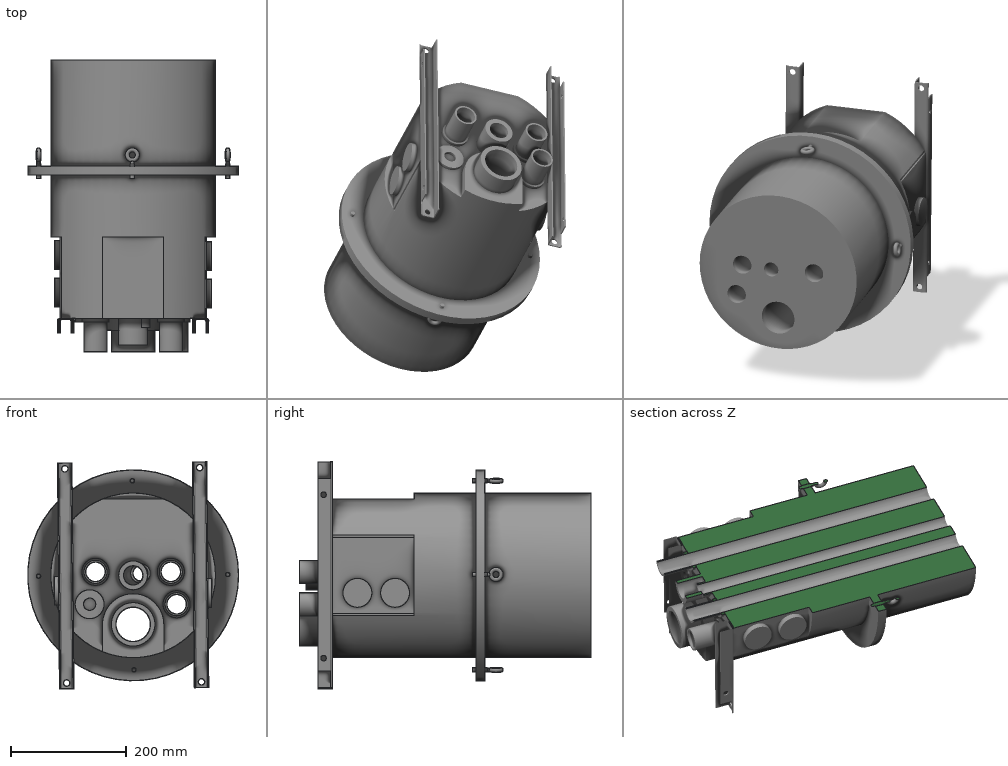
import cadquery as cq
import math

HARDWARE_TURN = 0.5

OVERALL_LENGTH = 504.0
PORT_LENGTH = 57.5
TANK_LENGTH = OVERALL_LENGTH - PORT_LENGTH
TANK_DIAMETER = 284.5
TANK_RADIUS = TANK_DIAMETER / 2
CUT = 2 * TANK_DIAMETER

FLAT_LENGTH = 140.5
TOP_FLAT_HEIGHT = 132.0
SIDE_FLAT_OFFSET = 124.0
SIDE_PLATE_THICKNESS = 2.5
SIDE_PLATE_HEIGHT = 131.0
SIDE_PLATE_FACE = SIDE_FLAT_OFFSET + SIDE_PLATE_THICKNESS

COVER_DIAMETER = 50.0
COVER_THICKNESS = 9.0
COVER_PITCH = 65.0
LEFT_COVER_Y = 45.0
LEFT_COVER_Z = -26.5
RIGHT_COVER_Y = 43.0
RIGHT_COVER_Z = -30.0

RING_DIAMETER = 364.5
RING_FRONT = 247.5
RING_THICKNESS = 15.5
RING_BACK = RING_FRONT + RING_THICKNESS

MAIN_PIPE_Z = -84.5
MAIN_PIPE_DIAMETER = 75.0
MAIN_PIPE_BORE = 59.0
PAD_RADIUS = 53.0
PAD_THICKNESS = 20.5

STUB_DIAMETER = 50.0
STUB_BORE = 33.5
STUB_LENGTH = 46.0
SMALL_TUBE_X = 12.5
SMALL_TUBE_Z = 3.5
SMALL_TUBE_DIAMETER = 34.0
SMALL_TUBE_BORE = 25.5
SMALL_TUBE_LENGTH = 15.5

COLLAR_DIAMETER = 47.0
COLLAR_THICKNESS = 6.0
FITTING_DIAMETER = 40.0
FITTING_BORE = 33.5
UPPER_PORT_X = 65.0
UPPER_PORT_Z = 6.0
LOWER_PORT_X = 75.0
LOWER_PORT_Z = -50.0
FITTING_PLACES = [
    (-UPPER_PORT_X, UPPER_PORT_Z),
    (UPPER_PORT_X, UPPER_PORT_Z),
    (LOWER_PORT_X, LOWER_PORT_Z),
]
BOSS_DIAMETER = 50.0
BOSS_HOLE = 21.0

BOLT_COUNT = 4
BOLT_CIRCLE_RADIUS = 163.5
SHANK_DIAMETER = 7.5
SHANK_CHAMFER = 0.5
SHANK_FRONT = RING_FRONT - 6.0
SHANK_BACK = RING_BACK + 4.0
NECK_DIAMETER = 6.5
EYE_OUTER_DIAMETER = 24.5
EYE_INNER_DIAMETER = 10.5
EYE_SECTION = (EYE_OUTER_DIAMETER - EYE_INNER_DIAMETER) / 2
EYE_RADIUS = (EYE_OUTER_DIAMETER + EYE_INNER_DIAMETER) / 4
EYE_CENTER_Y = 282.5
EYE_TWIST = -7.0

RAIL_LENGTH = 390.0
RAIL_WIDTH = 25.0
RAIL_DEPTH = 25.0
RAIL_OFFSET = 116.5
SHEET_THICKNESS = 2.0
BEND_INNER_RADIUS = 2.0
BEND_OUTER_RADIUS = BEND_INNER_RADIUS + SHEET_THICKNESS
OUTER_FLANGE_LENGTH = 333.0
WEB_HOLE_DIAMETER = 10.5
WEB_HOLE_Z = RAIL_LENGTH / 2 - 10.0
FLANGE_HOLE_DIAMETER = 9.5
FLANGE_HOLE_DEPTH = 15.5
FLANGE_HOLES_Z = [138.0, -144.0]


def rod(diameter, y_start, y_end, x=0.0, z=0.0):
    """Cylinder along Y from y_start to y_end, with its axis at (x, z)."""
    return (
        cq.Workplane("XZ", origin=(x, y_start, z))
        .circle(diameter / 2)
        .extrude(y_start - y_end)
    )


def flat_cutter(x, z):
    """Box of the length of the flats, centred at (x, z)."""
    return cq.Workplane("XY").box(CUT, FLAT_LENGTH, CUT).translate((x, FLAT_LENGTH / 2, z))


def side_plate(side):
    """Thin plate that lies on the side flat; side is -1 or 1."""
    return (
        cq.Workplane("XY")
        .box(SIDE_PLATE_THICKNESS, FLAT_LENGTH, SIDE_PLATE_HEIGHT)
        .translate((side * (SIDE_PLATE_FACE - SIDE_PLATE_THICKNESS / 2), FLAT_LENGTH / 2, 0))
    )


def side_covers(side, first_y, z):
    """Two round covers in a row along Y on a side plate."""
    return (
        cq.Workplane("YZ", origin=(side * SIDE_PLATE_FACE, 0, 0))
        .pushPoints([(first_y, z), (first_y + COVER_PITCH, z)])
        .circle(COVER_DIAMETER / 2)
        .extrude(side * COVER_THICKNESS)
    )


def arched_pad():
    """Pad below the main pipe: a round arch on straight sides, trimmed by the tank outline."""
    arch = (
        cq.Workplane("XZ")
        .moveTo(-PAD_RADIUS, -TANK_RADIUS)
        .lineTo(-PAD_RADIUS, MAIN_PIPE_Z)
        .threePointArc((0, MAIN_PIPE_Z + PAD_RADIUS), (PAD_RADIUS, MAIN_PIPE_Z))
        .lineTo(PAD_RADIUS, -TANK_RADIUS)
        .close()
        .extrude(PAD_THICKNESS)
    )
    return arch.intersect(rod(TANK_DIAMETER, -PAD_THICKNESS, 0))


def make_bolt_places():
    """Bolt angles in degrees, with the (x, z) of each bolt on the mounting ring."""
    places = []
    for index in range(BOLT_COUNT):
        angle = HARDWARE_TURN + index * 360 / BOLT_COUNT
        x = BOLT_CIRCLE_RADIUS * math.cos(math.radians(angle))
        z = BOLT_CIRCLE_RADIUS * math.sin(math.radians(angle))
        places.append((angle, x, z))
    return places


def make_housing():
    """Tank with its flats, ring, pads, stubs and through bores."""
    housing = rod(TANK_DIAMETER, 0, TANK_LENGTH)

    housing = housing.cut(flat_cutter(0, TOP_FLAT_HEIGHT + CUT / 2))
    for side, cover_y, cover_z in [
        (-1, LEFT_COVER_Y, LEFT_COVER_Z),
        (1, RIGHT_COVER_Y, RIGHT_COVER_Z),
    ]:
        housing = housing.cut(flat_cutter(side * (SIDE_FLAT_OFFSET + CUT / 2), 0))
        housing = housing.union(side_plate(side))
        housing = housing.union(side_covers(side, cover_y, cover_z))

    housing = housing.union(rod(RING_DIAMETER, RING_FRONT, RING_BACK))
    for _, x, z in bolt_places:
        housing = housing.cut(rod(SHANK_DIAMETER, RING_FRONT, RING_BACK, x, z))

    housing = housing.union(arched_pad())
    housing = housing.union(rod(MAIN_PIPE_DIAMETER, -PORT_LENGTH, 0, 0, MAIN_PIPE_Z))
    housing = housing.cut(rod(MAIN_PIPE_BORE, -PORT_LENGTH, TANK_LENGTH, 0, MAIN_PIPE_Z))

    stub = rod(STUB_DIAMETER, -STUB_LENGTH, 0).cut(rod(STUB_BORE, -STUB_LENGTH, 0))
    small_tube = rod(SMALL_TUBE_DIAMETER, -SMALL_TUBE_LENGTH, 0, SMALL_TUBE_X, SMALL_TUBE_Z)
    housing = housing.union(stub).union(small_tube)
    housing = housing.cut(
        rod(SMALL_TUBE_BORE, -SMALL_TUBE_LENGTH, TANK_LENGTH, SMALL_TUBE_X, SMALL_TUBE_Z)
    )

    boss = rod(BOSS_DIAMETER, -COLLAR_THICKNESS, 0, -LOWER_PORT_X, LOWER_PORT_Z)
    boss = boss.cut(rod(BOSS_HOLE, -COLLAR_THICKNESS, 0, -LOWER_PORT_X, LOWER_PORT_Z))
    housing = housing.union(boss)

    for x, z in FITTING_PLACES:
        housing = housing.cut(rod(FITTING_BORE, 0, TANK_LENGTH, x, z))
    return housing


def make_pipe_fitting(x, z):
    """Tube with a collar that sits on the connection face."""
    collar = rod(COLLAR_DIAMETER, -COLLAR_THICKNESS, 0, x, z)
    tube = rod(FITTING_DIAMETER, -PORT_LENGTH, 0, x, z)
    bore = rod(FITTING_BORE, -PORT_LENGTH, 0, x, z)
    return collar.union(tube).cut(bore)


def make_eye_bolt(angle, x, z):
    """Bolt along Y whose eye faces outward from the tank axis, apart from a small twist."""
    shank = rod(SHANK_DIAMETER, SHANK_FRONT, SHANK_BACK).faces("<Y or >Y").chamfer(SHANK_CHAMFER)
    neck = rod(NECK_DIAMETER, SHANK_BACK, EYE_CENTER_Y - EYE_RADIUS)
    eye = cq.Workplane(
        cq.Solid.makeTorus(
            EYE_RADIUS, EYE_SECTION / 2, cq.Vector(0, EYE_CENTER_Y, 0), cq.Vector(1, 0, 0)
        )
    )
    bolt = shank.union(neck).union(eye)
    return bolt.rotate((0, 0, 0), (0, 1, 0), -(angle + EYE_TWIST)).translate((x, 0, z))


def make_rail(side):
    """Channel with a full-length inner flange and a shorter outer flange; side is -1 or 1."""
    channel = (
        cq.Workplane("XY")
        .box(RAIL_WIDTH, RAIL_DEPTH, RAIL_LENGTH)
        .translate((0, -RAIL_DEPTH / 2, 0))
        .edges("|Z and >Y")
        .fillet(BEND_OUTER_RADIUS)
    )
    hollow = (
        cq.Workplane("XY")
        .box(RAIL_WIDTH - 2 * SHEET_THICKNESS, RAIL_DEPTH, RAIL_LENGTH)
        .translate((0, -RAIL_DEPTH / 2 - SHEET_THICKNESS, 0))
        .edges("|Z and >Y")
        .fillet(BEND_INNER_RADIUS)
    )
    rail = channel.cut(hollow)

    end_cut = (RAIL_LENGTH - OUTER_FLANGE_LENGTH) / 2
    for end in (-1, 1):
        notch = (
            cq.Workplane("XY")
            .box(RAIL_WIDTH / 2, RAIL_DEPTH, end_cut)
            .translate((
                side * RAIL_WIDTH / 2,
                -RAIL_DEPTH / 2 - BEND_OUTER_RADIUS,
                end * (RAIL_LENGTH - end_cut) / 2,
            ))
        )
        rail = rail.cut(notch)

    for end in (-1, 1):
        rail = rail.cut(rod(WEB_HOLE_DIAMETER, -SHEET_THICKNESS, 0, 0, end * WEB_HOLE_Z))
    flange_holes = (
        cq.Workplane("YZ")
        .pushPoints([(-FLANGE_HOLE_DEPTH, z) for z in FLANGE_HOLES_Z])
        .circle(FLANGE_HOLE_DIAMETER / 2)
        .extrude(side * RAIL_WIDTH)
    )
    rail = rail.cut(flange_holes)

    rail = rail.translate((side * RAIL_OFFSET, 0, 0))
    return rail.rotate((0, 0, 0), (0, 1, 0), -HARDWARE_TURN)


bolt_places = make_bolt_places()
housing = make_housing()
pipe_fittings = [make_pipe_fitting(x, z) for x, z in FITTING_PLACES]
eye_bolts = [make_eye_bolt(angle, x, z) for angle, x, z in bolt_places]
rails = [make_rail(side) for side in (-1, 1)]

result = cq.Compound.makeCompound([
    housing.val(),
    *[fitting.val() for fitting in pipe_fittings],
    *[bolt.val() for bolt in eye_bolts],
    *[rail.val() for rail in rails],
])